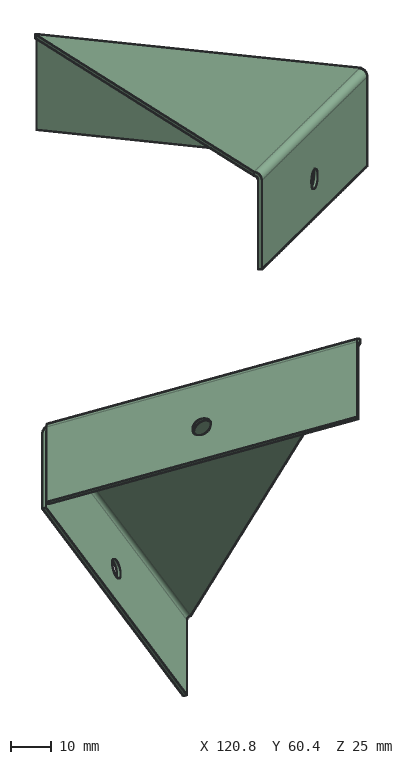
import cadquery as cq
import math

half_width = 60.4
height = 25.0
thickness = 1.0
inner_bend_radius = thickness
hole_diameter = 5.0
hole_height = 10.0

outer_bend_radius = inner_bend_radius + thickness
plate_half_base = half_width - outer_bend_radius / math.sqrt(2)
leg_length = plate_half_base * math.sqrt(2)
bend_axis_z = height - outer_bend_radius
plate_bottom_z = height - thickness


def make_plate():
    """Flat triangle bounded by the front edge and the two bend lines."""
    outline = [(-plate_half_base, 0), (plate_half_base, 0), (0, plate_half_base)]
    return (
        cq.Workplane("XY")
        .workplane(offset=plate_bottom_z)
        .polyline(outline)
        .close()
        .extrude(thickness)
    )


def make_left_flange():
    """Bend and drilled flange along the left leg, with square ends."""
    leg_plane = cq.Plane(
        origin=(-plate_half_base, 0, 0),
        xDir=(-1, 1, 0),
        normal=(1, 1, 0),
    )
    arc_cos = math.cos(math.pi / 4)
    flange = (
        cq.Workplane(leg_plane)
        .moveTo(0, height)
        .threePointArc(
            (outer_bend_radius * arc_cos, bend_axis_z + outer_bend_radius * arc_cos),
            (outer_bend_radius, bend_axis_z),
        )
        .lineTo(outer_bend_radius, 0)
        .lineTo(inner_bend_radius, 0)
        .lineTo(inner_bend_radius, bend_axis_z)
        .threePointArc(
            (inner_bend_radius * arc_cos, bend_axis_z + inner_bend_radius * arc_cos),
            (0, plate_bottom_z),
        )
        .close()
        .extrude(leg_length)
    )
    hole_plane = cq.Plane(
        origin=(-plate_half_base / 2, plate_half_base / 2, hole_height),
        xDir=(1, 1, 0),
        normal=(-1, 1, 0),
    )
    hole = cq.Workplane(hole_plane).circle(hole_diameter / 2).extrude(2 * outer_bend_radius)
    return flange.cut(hole)


left_flange = make_left_flange()
right_flange = left_flange.mirror("YZ")
result = make_plate().union(left_flange).union(right_flange)